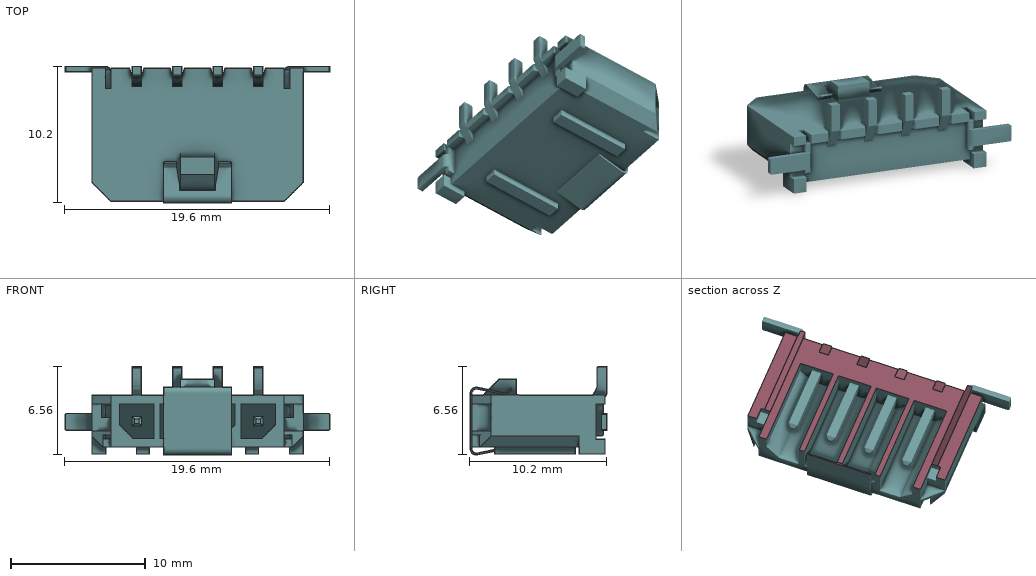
import cadquery as cq
import math


WIDTH = 15.7
HALF_WIDTH = WIDTH / 2
HEIGHT = 3.85
BODY_DEPTH = 9.22
TOTAL_DEPTH = 9.88
FLANGE_BOTTOM = 3.18
CORNER_CHAMFER = 1.41
BEVEL = 0.8

CORNER_POCKET_BOTTOM = 1.2
WALL = 0.65
CORNER_POCKET_TOP = HEIGHT - WALL
UPPER_WINDOW_INSET = 0.73
UPPER_WINDOW_BOTTOM = 2.2
LOWER_WINDOW_INSET = 0.85
LOWER_WINDOW_BOTTOM = 0.6
LOWER_WINDOW_TOP = 0.9
WINDOW_END = 2.35

FOOT_DROP = 0.53
FOOT_WIDTH = 1.05
FOOT_TOP = 0.59
FOOT_FRONT = 7.95
PEG_INNER_X = 3.58
PEG_OUTER_X = 4.54
PEG_FRONT = 1.69
PEG_BACK = 7.68

RAMP_WIDTH = 2.55
RAMP_HEIGHT = 1.18
RAMP_FRONT = 0.83
RAMP_CREST = 2.0
RAMP_BACK = 3.3
RAMP_TOE = 0.24
RAMP_TOE_HEIGHT = 0.05

PITCH = 3.0
PIN_COUNT = 4
PIN_XS = [(i - (PIN_COUNT - 1) / 2) * PITCH for i in range(PIN_COUNT)]
CAVITY_SIZE = HEIGHT - 2 * WALL
CAVITY_DEPTH = 7.07
CAVITY_KEY = 1.0
PIN_SIZE = 0.69
PIN_BOTTOM = 1.57
PIN_FRONT = 1.96
PIN_TIP_LENGTH = 0.24
PIN_TIP_SIZE = 0.31
BACK_OVERHANG = 0.14
BACK_PLANE = TOTAL_DEPTH + BACK_OVERHANG
PIN_TOP = 5.97
PIN_LEG_DEPTH = 0.75
PIN_HEEL_FRONT = BODY_DEPTH - PIN_SIZE
PIN_JOG_SLOPE = 1.8
PIN_JOG_INNER_TOP = 4.4
PIN_JOG_OUTER_TOP = 3.95
PIN_JOG_RADIUS = 0.15
PIN_CHAMFER = 0.1
NOTCH_MOUTH = 1.06
NOTCH_THROAT = 9.27

NAIL_THICKNESS = 0.41
NAIL_INNER_X = HALF_WIDTH - CORNER_CHAMFER
NAIL_OUTER_X = NAIL_INNER_X + NAIL_THICKNESS
NAIL_TIP_X = 9.82
NAIL_BLADE_BOTTOM = 0.65
NAIL_BLADE_TOP = 3.07
NAIL_HEAD_BOTTOM = 0.83
NAIL_HEAD_FRONT = 8.4
NAIL_HEAD_BACK = 9.75
NAIL_ARM_BOTTOM = 1.24
NAIL_ARM_TOP = 2.5
NAIL_TIP_CHAMFER = 0.08

CLIP_WIDTH = 5.05
CLIP_THICKNESS = 0.14
CLIP_CONTACT = 2.53
CLIP_RISE = 0.53
CLIP_INNER_RADIUS = 0.33
CLIP_TAIL = 0.41
CLIP_KINK_RADIUS = 0.1
FORK_FRONT = 0.79
FORK_FLARE_START = 1.24
FORK_FLARE_END = 2.55
FORK_ROOT_WIDTH = 2.67
FORK_MOUTH_WIDTH = 3.1
FORK_ROOT_RADIUS = 0.1
TAIL_CORNER_RADIUS = 0.15


def block(x_range, y_range, z_range):
    """Axis-aligned box between the given X, Y and Z limits."""
    (x0, x1), (y0, y1), (z0, z1) = x_range, y_range, z_range
    return cq.Workplane("XY").box(x1 - x0, y1 - y0, z1 - z0, centered=False).translate((x0, y0, z0))


def side_profile(points, width):
    """Prism of a (Y, Z) outline, centred on X = 0."""
    return cq.Workplane("YZ").polyline(points).close().extrude(width / 2, both=True)


def both_sides(right_half):
    """The right-hand feature together with its mirror image."""
    return right_half.union(right_half.mirror("YZ"))


def round_bend(body, corner, radius):
    """Fillet the edge along X that passes through a (Y, Z) corner."""
    nearest = cq.selectors.NearestToPointSelector((0, *corner))
    return body.newObject(body.edges("|X").edges(nearest).vals()).fillet(radius)



def housing_block():
    """Body with an overhanging roof flange at the back and chamfered front corners."""
    profile = [
        (0, 0),
        (BODY_DEPTH, 0),
        (BODY_DEPTH, FLANGE_BOTTOM),
        (TOTAL_DEPTH, FLANGE_BOTTOM),
        (TOTAL_DEPTH, HEIGHT),
        (0, HEIGHT),
    ]
    body = side_profile(profile, WIDTH)
    return body.edges("|Z and <Y").chamfer(CORNER_CHAMFER)


def bottom_bevel():
    """Bevel along the lower right edge, ahead of the foot."""
    return (
        cq.Workplane("XZ")
        .polyline([(HALF_WIDTH, 0), (HALF_WIDTH, BEVEL), (HALF_WIDTH - BEVEL, 0)])
        .close()
        .extrude(-FOOT_FRONT)
    )


def corner_pockets():
    """Recesses in the right front corner, with the windows that lead back to the nail."""
    corner = block(
        (NAIL_INNER_X, HALF_WIDTH), (0, CORNER_CHAMFER), (CORNER_POCKET_BOTTOM, CORNER_POCKET_TOP)
    )
    upper_window = block(
        (NAIL_INNER_X, HALF_WIDTH - UPPER_WINDOW_INSET),
        (0, WINDOW_END),
        (UPPER_WINDOW_BOTTOM, CORNER_POCKET_TOP),
    )
    lower_x = (NAIL_INNER_X, HALF_WIDTH - LOWER_WINDOW_INSET)
    lower_notch = block(lower_x, (0, CORNER_CHAMFER), (0, LOWER_WINDOW_TOP))
    lower_window = block(lower_x, (0, WINDOW_END), (LOWER_WINDOW_BOTTOM, LOWER_WINDOW_TOP))
    return corner.union(upper_window).union(lower_notch).union(lower_window)


def right_feet():
    """Right rear foot and the long peg beside it."""
    foot = block(
        (HALF_WIDTH - FOOT_WIDTH, HALF_WIDTH), (FOOT_FRONT, TOTAL_DEPTH), (-FOOT_DROP, FOOT_TOP)
    )
    peg = block((PEG_INNER_X, PEG_OUTER_X), (PEG_FRONT, PEG_BACK), (-FOOT_DROP, 0))
    return foot.union(peg)


def latch_ramp():
    """Latch with a sloping front and a low toe behind it."""
    profile = [
        (RAMP_FRONT, HEIGHT),
        (RAMP_CREST, HEIGHT + RAMP_HEIGHT),
        (RAMP_BACK, HEIGHT + RAMP_HEIGHT),
        (RAMP_BACK, HEIGHT + RAMP_TOE_HEIGHT),
        (RAMP_BACK + RAMP_TOE, HEIGHT),
    ]
    return side_profile(profile, RAMP_WIDTH)


def cavity(x, key_edge):
    """Square contact cavity; key_edge selects the long edge with the keying chamfer, if any."""
    half = CAVITY_SIZE / 2
    hole = block((x - half, x + half), (0, CAVITY_DEPTH), (WALL, HEIGHT - WALL))
    if key_edge:
        hole = hole.edges(key_edge).chamfer(CAVITY_KEY)
    return hole


def pin_notch(x):
    """Opening above a pin: a slot in the roof that flares out through the flange."""
    slot = block(
        (x - PIN_SIZE / 2, x + PIN_SIZE / 2),
        (PIN_HEEL_FRONT, TOTAL_DEPTH),
        (PIN_BOTTOM + PIN_SIZE, HEIGHT),
    )
    flare = (
        cq.Workplane("XY", origin=(x, 0, FLANGE_BOTTOM))
        .polyline([
            (-PIN_SIZE / 2, NOTCH_THROAT),
            (PIN_SIZE / 2, NOTCH_THROAT),
            (NOTCH_MOUTH / 2, TOTAL_DEPTH),
            (-NOTCH_MOUTH / 2, TOTAL_DEPTH),
        ])
        .close()
        .extrude(HEIGHT - FLANGE_BOTTOM)
    )
    return slot.union(flare)


def nail_slot():
    """Opening in the roof and flange above the right nail."""
    return block(
        (NAIL_INNER_X, NAIL_OUTER_X), (NAIL_HEAD_FRONT, TOTAL_DEPTH), (FLANGE_BOTTOM, HEIGHT)
    )


def make_housing(inserts):
    """Housing with recesses that match the inserted pins and nails."""
    lower_left = "|Y and <X and <Z"
    lower_right = "|Y and >X and <Z"
    key_edges = [lower_left, None, lower_right, lower_right]
    body = housing_block()
    body = body.cut(both_sides(bottom_bevel()))
    body = body.cut(both_sides(corner_pockets()))
    body = body.cut(both_sides(nail_slot()))
    body = body.union(both_sides(right_feet()))
    body = body.union(latch_ramp())
    for x, key_edge in zip(PIN_XS, key_edges):
        body = body.cut(cavity(x, key_edge))
        body = body.cut(pin_notch(x))
    for insert in inserts:
        body = body.cut(insert)
    return body



def make_pin(x):
    """Square pin with a tapered tip, a heel in the back wall and a leg that jogs back and up."""
    pin_top = PIN_BOTTOM + PIN_SIZE
    leg_front = BACK_PLANE - PIN_LEG_DEPTH
    inner_jog_bottom = PIN_JOG_INNER_TOP - PIN_JOG_SLOPE * (leg_front - PIN_HEEL_FRONT)
    outer_jog_bottom = PIN_JOG_OUTER_TOP - PIN_JOG_SLOPE * (BACK_PLANE - BODY_DEPTH)
    profile = [
        (PIN_FRONT + PIN_TIP_LENGTH, PIN_BOTTOM),
        (BODY_DEPTH, PIN_BOTTOM),
        (BODY_DEPTH, outer_jog_bottom),
        (BACK_PLANE, PIN_JOG_OUTER_TOP),
        (BACK_PLANE, PIN_TOP),
        (leg_front + PIN_CHAMFER, PIN_TOP),
        (leg_front, PIN_TOP - PIN_CHAMFER),
        (leg_front, PIN_JOG_INNER_TOP),
        (PIN_HEEL_FRONT, inner_jog_bottom),
        (PIN_HEEL_FRONT, pin_top),
        (PIN_FRONT + PIN_TIP_LENGTH, pin_top),
    ]
    shank = round_bend(side_profile(profile, PIN_SIZE), (leg_front, PIN_JOG_INNER_TOP), PIN_JOG_RADIUS)
    tip = (
        cq.Workplane("XZ", origin=(0, PIN_FRONT, PIN_BOTTOM + PIN_SIZE / 2))
        .rect(PIN_TIP_SIZE, PIN_TIP_SIZE)
        .workplane(offset=-PIN_TIP_LENGTH)
        .rect(PIN_SIZE, PIN_SIZE)
        .loft(ruled=True)
    )
    return shank.union(tip).translate((x, 0, 0))



def make_right_nail():
    """Blade and head set in the housing, with an arm bent outward along the back."""
    plate_x = (NAIL_INNER_X, NAIL_OUTER_X)
    blade = block(plate_x, (WINDOW_END, NAIL_HEAD_FRONT), (NAIL_BLADE_BOTTOM, NAIL_BLADE_TOP))
    head = block(plate_x, (NAIL_HEAD_FRONT, NAIL_HEAD_BACK), (NAIL_HEAD_BOTTOM, FLANGE_BOTTOM))
    head = head.edges("|X and >Y and <Z").chamfer(NAIL_TIP_CHAMFER)
    arm_front = BACK_PLANE - NAIL_THICKNESS
    arm = (
        cq.Workplane("XY", origin=(0, 0, NAIL_ARM_BOTTOM))
        .moveTo(NAIL_INNER_X, arm_front)
        .radiusArc((NAIL_OUTER_X, BACK_PLANE), NAIL_THICKNESS)
        .lineTo(NAIL_TIP_X, BACK_PLANE)
        .lineTo(NAIL_TIP_X, arm_front)
        .close()
        .extrude(NAIL_ARM_TOP - NAIL_ARM_BOTTOM)
        .edges(">X and |Y")
        .chamfer(NAIL_TIP_CHAMFER)
    )
    return blade.union(head).union(arm)



def mitred_offset(points, distance):
    """Polyline parallel to an open one, on its right-hand side, with mitred corners."""
    normals = []
    for (y0, z0), (y1, z1) in zip(points, points[1:]):
        length = math.hypot(y1 - y0, z1 - z0)
        normals.append(((z1 - z0) / length, (y0 - y1) / length))
    before = [normals[0]] + normals
    after = normals + [normals[-1]]
    shifted = []
    for (y, z), (ay, az), (by, bz) in zip(points, before, after):
        reach = distance / (1 + ay * by + az * bz)
        shifted.append((y + reach * (ay + by), z + reach * (az + bz)))
    return shifted


def fork_cutout():
    """Opening in the upper leg that clears the latch ramp."""
    root = FORK_ROOT_WIDTH / 2
    mouth = FORK_MOUTH_WIDTH / 2
    far_back = CLIP_CONTACT + 2 * CLIP_TAIL
    return (
        cq.Workplane("XY", origin=(0, 0, HEIGHT))
        .polyline([
            (-root, FORK_FRONT),
            (root, FORK_FRONT),
            (root, FORK_FLARE_START),
            (mouth, FORK_FLARE_END),
            (mouth, far_back),
            (-mouth, far_back),
            (-mouth, FORK_FLARE_END),
            (-root, FORK_FLARE_START),
        ])
        .close()
        .extrude(RAMP_HEIGHT)
        .edges("|Z and <Y")
        .fillet(FORK_ROOT_RADIUS)
    )


def tail_corners(clip):
    """Outer end edges of the two tails, which run through the sheet thickness."""
    return [
        edge
        for side in (">X", "<X")
        for edge in clip.faces(side).edges(">Y").vals()
    ]


def make_clip():
    """Sheet-metal clip: front plate, forked upper leg with turned-up tails, plain lower leg."""
    inner = [
        (CLIP_CONTACT, 0),
        (0, -CLIP_RISE),
        (0, HEIGHT + CLIP_RISE),
        (CLIP_CONTACT, HEIGHT),
        (CLIP_CONTACT + CLIP_TAIL, HEIGHT + CLIP_TAIL),
    ]
    outer = mitred_offset(inner, -CLIP_THICKNESS)
    clip = side_profile(inner + outer[::-1], CLIP_WIDTH)
    for corner in (1, 2):
        clip = round_bend(clip, inner[corner], CLIP_INNER_RADIUS)
        clip = round_bend(clip, outer[corner], CLIP_INNER_RADIUS + CLIP_THICKNESS)
    clip = round_bend(clip, outer[3], CLIP_KINK_RADIUS)
    clip = round_bend(clip, inner[3], CLIP_KINK_RADIUS + CLIP_THICKNESS)
    clip = clip.cut(fork_cutout())
    return clip.newObject(tail_corners(clip)).fillet(TAIL_CORNER_RADIUS)


pins = [make_pin(x) for x in PIN_XS]
right_nail = make_right_nail()
nails = [right_nail, right_nail.mirror("YZ")]
housing = make_housing(pins + nails)
clip = make_clip()

result = cq.Compound.makeCompound([
    housing.solids().val(),
    *[pin.solids().val() for pin in pins],
    *[nail.solids().val() for nail in nails],
    clip.solids().val(),
])